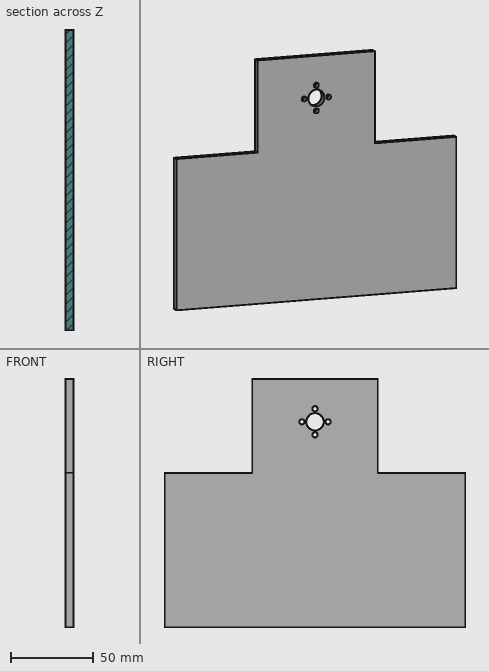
import cadquery as cq

thickness = 5.0
base_width = 183.0
total_height = 151.3

base_height = 94.0
tab_width = 76.7

pattern_drop = 26.2
bore_diameter = 10.5
screw_hole_diameter = 3.1
screw_circle_diameter = 16.0
screw_count = 4

pattern_height = total_height - pattern_drop


def upright_block(width, height):
    """Plate-thick block centred on Y and standing on Z = 0."""
    return cq.Workplane("XY").box(thickness, width, height, centered=(True, True, False))


plate = upright_block(base_width, base_height).union(upright_block(tab_width, total_height))

hole_plane = cq.Workplane("YZ", origin=(0, 0, pattern_height))
bore = hole_plane.circle(bore_diameter / 2).extrude(thickness, both=True)
screw_holes = (
    hole_plane.polarArray(screw_circle_diameter / 2, 0, 360, screw_count)
    .circle(screw_hole_diameter / 2)
    .extrude(thickness, both=True)
)

result = plate.cut(bore).cut(screw_holes)